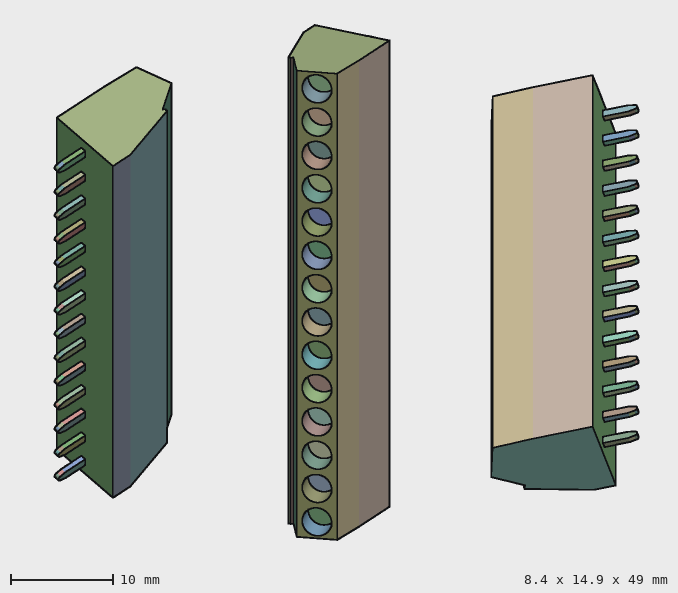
import cadquery as cq

ways = 14
total_length = 49.0
pitch = total_length / ways

base_width = 8.4
pin_length = 3.5
overall_depth = 14.9
body_height = overall_depth - pin_length

wall_height = 6.1
left_shoulder = (0.15, 10.2)
peak = (3.95, body_height)
notch_foot = (6.0, 8.55)
lip_start = (6.15, 8.7)
lip_end = (6.4, 8.7)
right_wall_height = 2.25

hole_diameter = 2.95
hole_depth = 2.95

pin_centre_x = 3.95
pin_thickness = 0.6
pin_height = 0.9
tip_length = 0.9
nose_radius = 0.3


def make_body():
    """Terminal housing: one profile extruded along Z."""
    return (
        cq.Workplane("XY")
        .moveTo(0, 0)
        .lineTo(base_width, 0)
        .lineTo(base_width, right_wall_height)
        .lineTo(*lip_end)
        .lineTo(*lip_start)
        .lineTo(*notch_foot)
        .lineTo(*peak)
        .lineTo(*left_shoulder)
        .lineTo(0, wall_height)
        .close()
        .extrude(total_length)
    )


def make_screw_hole(z):
    """Blind round hole, square to the middle of the sloping top face."""
    run = peak[0] - left_shoulder[0]
    rise = peak[1] - left_shoulder[1]
    centre = cq.Vector(left_shoulder[0] + run / 2, left_shoulder[1] + rise / 2, z)
    inward = cq.Vector(rise, -run, 0)
    hole = cq.Solid.makeCylinder(hole_diameter / 2, hole_depth, centre, inward)
    return cq.Workplane(hole)


def make_pin(z):
    """Flat pin below the mounting face, its tip tapering to a round nose."""
    half_height = pin_height / 2
    taper_y = tip_length - pin_length
    nose_y = nose_radius - pin_length
    return (
        cq.Workplane("YZ", origin=(pin_centre_x, 0, z))
        .moveTo(0, half_height)
        .lineTo(taper_y, half_height)
        .lineTo(nose_y, nose_radius)
        .threePointArc((-pin_length, 0), (nose_y, -nose_radius))
        .lineTo(taper_y, -half_height)
        .lineTo(0, -half_height)
        .close()
        .extrude(pin_thickness / 2, both=True)
    )


result = make_body()
for way in range(ways):
    way_z = (way + 0.5) * pitch
    result = result.cut(make_screw_hole(way_z)).union(make_pin(way_z))